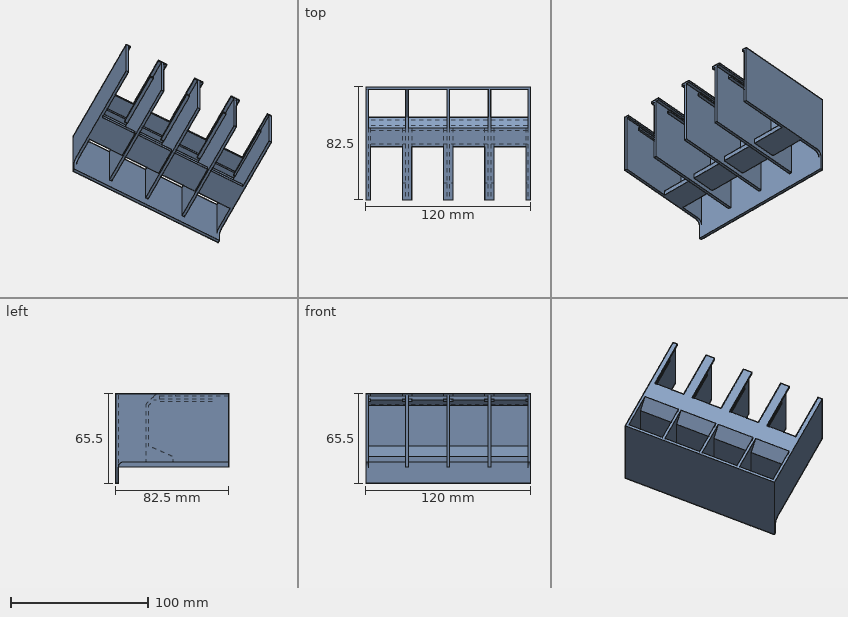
import cadquery as cq
import math

length = 120.0
depth = 82.5
height = 65.5
wall = 2.0

bay_count = 4
pitch = length / bay_count
side_wall_height = 49.7
divider_height = 53.5
fillet_radius = 4.1

plate_thickness = 1.8
plate_back = 52.7
slot_width = 23.0
slot_depth = 38.8

rail_start = 12.4
rail_top = 4.0
rail_thickness = 1.8

fold_angle = 45.0
panel_back = 60.5
stop_lip_height = 4.8
floor_ramp_top = 38.0
floor_front = 40.8
floor_lip_height = 3.8


def block(x_min, x_max, y_min, y_max, z_min, z_max):
    """Box between the given limits."""
    size = (x_max - x_min, y_max - y_min, z_max - z_min)
    return cq.Workplane("XY").box(*size, centered=False).translate((x_min, y_min, z_min))


def side_profile(points):
    """Prism along the whole length from an outline of (y, z) points."""
    return cq.Workplane("YZ").polyline(points).close().extrude(length)


def side_wall(x_min):
    """Outer wall, rounded into the back wall below its lower edge."""
    back_inner = depth - wall
    panel = block(x_min, x_min + wall, 0, depth, -side_wall_height, 0)
    corner = (
        cq.Workplane("YZ", origin=(x_min, 0, 0))
        .moveTo(back_inner - fillet_radius, -side_wall_height)
        .radiusArc((back_inner, -side_wall_height - fillet_radius), fillet_radius)
        .lineTo(back_inner, -side_wall_height)
        .close()
        .extrude(wall)
    )
    return panel.union(corner)


def lid_slots(slot_back):
    """One full-height cutter per bay, from the open front to the given Y."""
    cutters = cq.Workplane("XY")
    for bay in range(bay_count):
        x_min = (bay + 0.5) * pitch - slot_width / 2
        cutters = cutters.add(block(x_min, x_min + slot_width, 0, slot_back, -height, 0))
    return cutters.combine()


def top_plate():
    """Plate with one slot per bay, open to the front."""
    plate = block(0, length, 0, plate_back, -plate_thickness, 0)
    return plate.cut(lid_slots(slot_depth))


def rails():
    """Ledges on both sides of every bay, as far apart as the slot is wide."""
    bar = block(0, length, rail_start, plate_back, -rail_top - rail_thickness, -rail_top)
    return bar.cut(lid_slots(plate_back))


def dividers():
    """Walls between neighbouring bays."""
    walls = cq.Workplane("XY")
    for divider in range(1, bay_count):
        x_min = divider * pitch - wall / 2
        walls = walls.add(block(x_min, x_min + wall, 0, depth, -divider_height, 0))
    return walls.combine()


def front_panel():
    """Sheet that slopes back under the plate, drops, and ends in a wedge-shaped floor."""
    panel_front = panel_back - wall
    fold_drop = (panel_back - plate_back) * math.tan(math.radians(fold_angle))
    fold_offset = wall * math.tan(math.radians(fold_angle / 2))
    outer_fold = fold_drop + fold_offset
    underside_run = (outer_fold - stop_lip_height) / math.tan(math.radians(fold_angle))
    plate_lip = plate_back - wall
    return side_profile([
        (plate_back, 0),
        (panel_back, -fold_drop),
        (panel_back, -side_wall_height),
        (floor_front, -side_wall_height),
        (floor_front, -side_wall_height + floor_lip_height),
        (panel_front, -floor_ramp_top),
        (panel_front, -outer_fold),
        (panel_front - underside_run, -stop_lip_height),
        (plate_lip, -stop_lip_height),
        (plate_lip, 0),
    ])


back_wall = block(0, length, depth - wall, depth, -height, 0)
result = back_wall.union(side_wall(0)).union(side_wall(length - wall))
result = result.union(dividers()).union(top_plate()).union(rails()).union(front_panel())